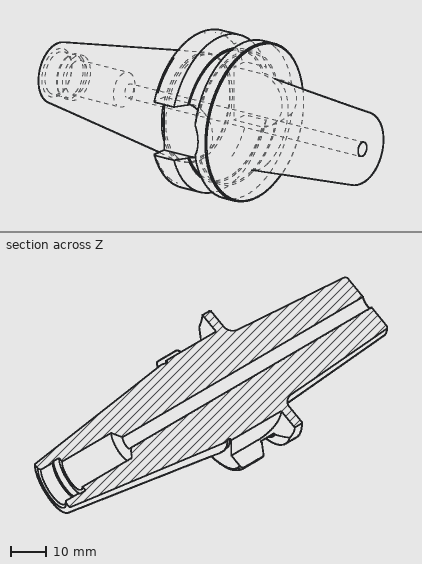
import cadquery as cq
import math

LENGTH = 108.4

TAPER_END_X = 48.3
GAUGE_RADIUS = 31.8 / 2
TAPER_RATIO = 7 / 24
SMALL_RADIUS = GAUGE_RADIUS - TAPER_END_X * TAPER_RATIO / 2
TAPER_EDGE_ROUND = 0.4

GAUGE_END_X = 49.2
RELIEF_X = 49.6
RELIEF_RADIUS = 15.6

FLANGE_RADIUS = 23.0
FLANGE_FRONT_X = 50.4
FLANGE_BACK_X = 70.4
FLANGE_FRONT_ROUND = 1.0
FLANGE_BACK_CHAMFER = 0.3
GROOVE_START_X = 57.9
GROOVE_END_X = 66.1
GROOVE_WALL_FOOT_RADIUS = 19.4
GROOVE_RADIUS = 18.9
GROOVE_HALF_ANGLE = 30
GROOVE_WALL_RUN = (FLANGE_RADIUS - GROOVE_WALL_FOOT_RADIUS) * math.tan(math.radians(GROOVE_HALF_ANGLE))

SLOT_WIDTH = 15.9
SLOT_END_X = 67.5
SLOT_FLOOR_Y = 16.3

NOSE_RADIUS = 10.5
NOSE_ANGLE = 4.5
NOSE_ROOT_RADIUS = NOSE_RADIUS + (LENGTH - FLANGE_BACK_X) * math.tan(math.radians(NOSE_ANGLE))
NOSE_ROOT_FILLET = 3.0
NOSE_EDGE_ROUND = 1.0

MOUTH_RADIUS = 7.0
MOUTH_CHAMFER_LENGTH = 0.49
ENTRY_RADIUS = 12.5 / 2
ENTRY_DEPTH = 4.5
RECESS_RADIUS = 13.1 / 2
RECESS_START = 5.1
RECESS_DEPTH = 6.9
THREAD_RADIUS = 10.1 / 2
THREAD_DEPTH = 23.8
DRILL_POINT_HALF_ANGLE = 59
THROUGH_RADIUS = 2.1
POINT_LENGTH = (THREAD_RADIUS - THROUGH_RADIUS) / math.tan(math.radians(DRILL_POINT_HALF_ANGLE))
POINT_END = THREAD_DEPTH + POINT_LENGTH

PICK_REACH = 0.01


def revolve_profile(points):
    """Revolve an (x, radius) outline about the X axis."""
    return cq.Workplane("XY").polyline(points).close().revolve(360, (0, 0), (1, 0))


def edge_at(x, radius):
    """Select the single circular edge about the X axis with this place and radius."""
    return cq.selectors.BoxSelector(
        (x - PICK_REACH, -radius - PICK_REACH, -radius - PICK_REACH),
        (x + PICK_REACH, radius + PICK_REACH, radius + PICK_REACH),
        boundingbox=True,
    ) - cq.selectors.BoxSelector(
        (x - PICK_REACH, -radius + PICK_REACH, -radius + PICK_REACH),
        (x + PICK_REACH, radius - PICK_REACH, radius - PICK_REACH),
        boundingbox=True,
    )


def make_body():
    body = revolve_profile([
        (0, 0),
        (0, SMALL_RADIUS),
        (TAPER_END_X, GAUGE_RADIUS),
        (GAUGE_END_X, GAUGE_RADIUS),
        (RELIEF_X, RELIEF_RADIUS),
        (FLANGE_FRONT_X, RELIEF_RADIUS),
        (FLANGE_FRONT_X, FLANGE_RADIUS),
        (GROOVE_START_X, FLANGE_RADIUS),
        (GROOVE_START_X + GROOVE_WALL_RUN, GROOVE_WALL_FOOT_RADIUS),
        (GROOVE_START_X + GROOVE_WALL_RUN, GROOVE_RADIUS),
        (GROOVE_END_X - GROOVE_WALL_RUN, GROOVE_RADIUS),
        (GROOVE_END_X - GROOVE_WALL_RUN, GROOVE_WALL_FOOT_RADIUS),
        (GROOVE_END_X, FLANGE_RADIUS),
        (FLANGE_BACK_X, FLANGE_RADIUS),
        (FLANGE_BACK_X, NOSE_ROOT_RADIUS),
        (LENGTH, NOSE_RADIUS),
        (LENGTH, 0),
    ])
    body = body.edges(edge_at(0, SMALL_RADIUS)).fillet(TAPER_EDGE_ROUND)
    body = body.edges(edge_at(FLANGE_FRONT_X, FLANGE_RADIUS)).fillet(FLANGE_FRONT_ROUND)
    body = body.edges(edge_at(FLANGE_BACK_X, FLANGE_RADIUS)).chamfer(FLANGE_BACK_CHAMFER)
    body = body.edges(edge_at(FLANGE_BACK_X, NOSE_ROOT_RADIUS)).fillet(NOSE_ROOT_FILLET)
    return body.edges(edge_at(LENGTH, NOSE_RADIUS)).fillet(NOSE_EDGE_ROUND)


def make_bore():
    return revolve_profile([
        (0, 0),
        (0, MOUTH_RADIUS),
        (MOUTH_CHAMFER_LENGTH, ENTRY_RADIUS),
        (ENTRY_DEPTH, ENTRY_RADIUS),
        (RECESS_START, RECESS_RADIUS),
        (RECESS_DEPTH, RECESS_RADIUS),
        (RECESS_DEPTH, THREAD_RADIUS),
        (THREAD_DEPTH, THREAD_RADIUS),
        (POINT_END, THROUGH_RADIUS),
        (LENGTH, THROUGH_RADIUS),
        (LENGTH, 0),
    ])


def make_slot(floor_y, outer_y):
    """Slot cutter open toward the taper, with a full-round inner end."""
    half_width = SLOT_WIDTH / 2
    arc_start_x = SLOT_END_X - half_width
    return (
        cq.Workplane("XZ", origin=(0, floor_y, 0))
        .moveTo(FLANGE_FRONT_X, -half_width)
        .lineTo(arc_start_x, -half_width)
        .threePointArc((SLOT_END_X, 0), (arc_start_x, half_width))
        .lineTo(FLANGE_FRONT_X, half_width)
        .close()
        .extrude(floor_y - outer_y)
    )


result = make_body().cut(make_bore())
for side in (-1, 1):
    result = result.cut(make_slot(side * SLOT_FLOOR_Y, side * FLANGE_RADIUS))